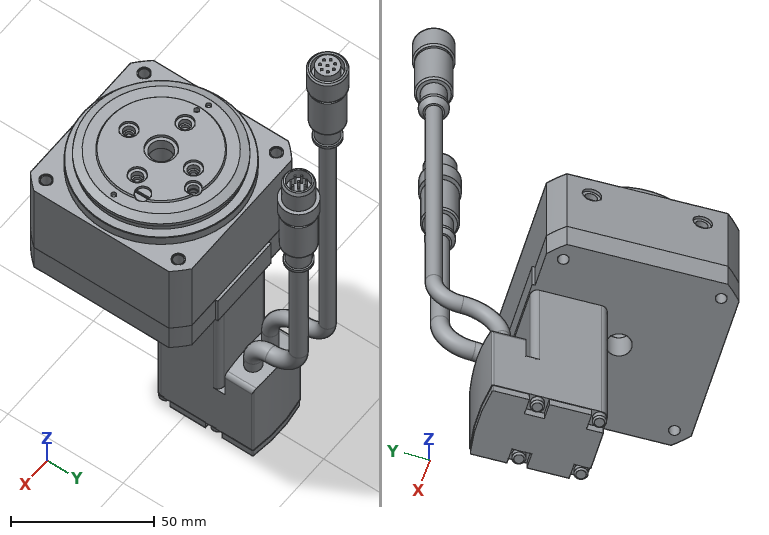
import cadquery as cq
import math


plate_bottom = 70.7
plate_top = 82.3
housing_top = 115.7
collar_top = 119.8
table_top = 125.9

square_side = 70.0
corner_radius = 45.7
collar_radius = 34.0
collar_chamfer = 0.2
rear_pad_width = 31.2
rear_pad_reach = 1.1
corner_hole_offset = 28.7
corner_hole_diameter = 4.0
corner_mouth_diameter = 5.0
corner_mouth_depth = 0.5
side_hole_offset = 20.1
side_hole_height = 106.2

mouth_diameter = 7.0
mouth_depth = 1.1
thread_diameter = 4.5
thread_depth = 3.5
drill_diameter = 3.2
drill_depth = 5.0
drill_point_angle = 118
small_mouth_diameter = 6.0
small_thread_diameter = 4.0

neck_radius = 30.3
lip_radius = 31.0
lip_bottom = 122.5
lip_top = 123.8
rim_radius = 27.5
disc_radius = 22.8
disc_rise = 0.7
disc_chamfer = 0.5
bore_diameter = 9.3
bore_mouth_diameter = 12.0
bore_mouth_depth = 1.4
table_hole_circle = 14.0
table_hole_count = 4
small_tapped_x = 6.8
small_tapped_y = 19.0
set_screw_x = 19.2
set_screw_y = 6.3
set_screw_diameter = 6.0
set_screw_depth = 1.1
set_screw_slot_width = 1.0
set_screw_slot_depth = 1.0
pin_hole_points = [(-20.8, 0), (-25.3, 1.8), (25.3, -1.8)]
pin_hole_diameter = 2.0
pin_hole_depth = 2.3

motor_side = 28.0
motor_front = 7.7
motor_back = motor_front + motor_side
motor_centre_y = motor_front + motor_side / 2
motor_corner_radius = 2.7

foot_height = 3.5
foot_inset = 0.2
foot_screw_inset = 2.7
foot_screw_diameter = 5.0
foot_screw_gap = 0.5
foot_screw_chamfer = 0.7
foot_pocket_side = 7.2

slot_bottom = 27.0
outlet_front = 38.0
outlet_back = 51.5
outlet_bulge = 1.4
outlet_top = 40.5
outlet_crown = 2.0
outlet_shoulder = outlet_top - outlet_crown
outlet_edge_radius = 2.3
outlet_corner_radius = 0.7

tall_cable_x = -4.7
short_cable_x = 5.2
cable_start_y = 43.8
tall_cable_radius = 3.05
short_cable_radius = 3.5

nut_radius = 7.5
grip_radius = 6.8
sleeve_radius = 4.7
bead_radius = 5.5
coupling_radius = 6.0
nut_neck_radius = 4.5
insert_radius = 4.63
connector_edge = 0.7
connector_recess = 4.5
bead_height = 1.4
socket_diameter = 1.0
pin_diameter = 0.8
pin_tip_gap = 0.5
pin_circle_radius = 2.7
pins_on_circle = 7


def level(height):
    """Horizontal workplane at the given height."""
    return cq.Workplane("XY").workplane(offset=height)


def cylinder(diameter, bottom, top, x=0, y=0):
    """Upright cylinder between two heights."""
    return level(bottom).center(x, y).circle(diameter / 2).extrude(top - bottom)


def turned(profile, x=0, y=0):
    """Solid turned from (radius, height) points about an upright axis."""
    return cq.Workplane("XZ", origin=(x, y, 0)).polyline(profile).close().revolve(360, (0, 0), (0, 1))


def square_block(bottom, top):
    """Square prism whose corners are turned to the corner radius."""
    square = level(bottom).rect(square_side, square_side).extrude(top - bottom)
    return square.intersect(cylinder(2 * corner_radius, bottom, top))


def corner_holes(diameter, bottom, top):
    """Cutter for the four corner holes."""
    spacing = 2 * corner_hole_offset
    centres = level(bottom).rect(spacing, spacing, forConstruction=True).vertices()
    return centres.circle(diameter / 2).extrude(top - bottom)


def tapped_hole(mouth, direction, wide=mouth_diameter, thread=thread_diameter):
    """Cutter for a counterbored tapped hole that starts at the mouth and runs along the direction."""
    drill_radius = drill_diameter / 2
    point_length = drill_radius / math.tan(math.radians(drill_point_angle / 2))
    profile = [
        (0, 0),
        (wide / 2, 0),
        (wide / 2, mouth_depth),
        (thread / 2, mouth_depth),
        (thread / 2, thread_depth),
        (drill_radius, thread_depth),
        (drill_radius, drill_depth),
        (0, drill_depth + point_length),
    ]
    axis = cq.Vector(*direction)
    across = cq.Vector(1, 0, 0) if direction[2] else cq.Vector(0, 0, 1)
    plane = cq.Plane(origin=mouth, xDir=across, normal=across.cross(axis))
    return cq.Workplane(plane).polyline(profile).close().revolve(360, (0, 0), (0, 1))



def make_housing():
    body = square_block(plate_top, housing_top)
    collar = cylinder(2 * collar_radius, housing_top, collar_top)
    body = body.union(collar.faces(">Z").chamfer(collar_chamfer))
    body = body.cut(cylinder(bore_diameter, plate_top, collar_top))
    body = body.cut(corner_holes(corner_hole_diameter, plate_top, housing_top))
    body = body.cut(corner_holes(corner_mouth_diameter, housing_top - corner_mouth_depth, housing_top))
    half = square_side / 2
    for along in (-side_hole_offset, side_hole_offset):
        body = body.cut(tapped_hole((along, -half, side_hole_height), (0, 1, 0)))
        body = body.cut(tapped_hole((-half, along, side_hole_height), (1, 0, 0)))
    return body



def make_base_plate():
    body = square_block(plate_bottom, plate_top)
    pad_end = square_side / 2 + rear_pad_reach
    pad = level(plate_bottom).center(0, pad_end / 2).rect(rear_pad_width, pad_end)
    body = body.union(pad.extrude(plate_top - plate_bottom))
    body = body.cut(cylinder(bore_diameter, plate_bottom, plate_top))
    return body.cut(corner_holes(corner_hole_diameter, plate_bottom, plate_top))



def table_blank():
    """Turned table with a lip over a neck, a sloping rim, a raised disc and a stepped bore."""
    ring_top = table_top - disc_rise
    profile = [
        (0, collar_top),
        (neck_radius, collar_top),
        (neck_radius, lip_bottom),
        (lip_radius, lip_bottom),
        (lip_radius, lip_top),
        (rim_radius, ring_top),
        (disc_radius, ring_top),
        (disc_radius - disc_chamfer, table_top),
        (0, table_top),
    ]
    body = turned(profile).cut(cylinder(bore_diameter, collar_top, table_top))
    return body.cut(cylinder(bore_mouth_diameter, table_top - bore_mouth_depth, table_top))


def set_screw_recess():
    """Cutter for the recess over the set screw and the slot across the screw."""
    floor = table_top - set_screw_depth
    recess = cylinder(set_screw_diameter, floor, table_top, set_screw_x, set_screw_y)
    slot = level(floor - set_screw_slot_depth).center(set_screw_x, set_screw_y)
    slot = slot.rect(set_screw_slot_width, set_screw_diameter).extrude(set_screw_slot_depth)
    return recess.union(slot)


def make_table():
    body = table_blank()
    down = (0, 0, -1)
    for step in range(table_hole_count):
        angle = step * 2 * math.pi / table_hole_count
        x = table_hole_circle * math.cos(angle)
        y = table_hole_circle * math.sin(angle)
        body = body.cut(tapped_hole((x, y, table_top), down))
    small_mouth = (small_tapped_x, small_tapped_y, table_top)
    body = body.cut(tapped_hole(small_mouth, down, small_mouth_diameter, small_thread_diameter))
    body = body.cut(set_screw_recess())
    for x, y in pin_hole_points:
        body = body.cut(cylinder(pin_hole_diameter, table_top - pin_hole_depth, table_top, x, y))
    return body



def motor_stem():
    """Motor case with rounded upright edges."""
    case = level(foot_height).center(0, motor_centre_y).rect(motor_side, motor_side)
    case = case.extrude(plate_bottom - foot_height)
    return case.edges("|Z").fillet(motor_corner_radius)


def outlet_web():
    """Solid below the slot that joins the motor case to the outlet box."""
    web_end = (outlet_front + outlet_back) / 2
    length = web_end - motor_centre_y
    web = level(foot_height).center(0, motor_centre_y + length / 2).rect(motor_side, length)
    return web.extrude(slot_bottom - foot_height)


def outlet_box():
    """Box behind the motor with a bowed back and a crowned top."""
    half = motor_side / 2
    plan = (
        level(foot_height)
        .moveTo(-half, outlet_front)
        .lineTo(half, outlet_front)
        .lineTo(half, outlet_back - outlet_bulge)
        .threePointArc((0, outlet_back), (-half, outlet_back - outlet_bulge))
        .close()
        .extrude(outlet_top - foot_height)
        .faces(">Y")
        .edges("|Z")
        .fillet(outlet_corner_radius)
    )
    crown = (
        cq.Workplane("XZ", origin=(0, outlet_back, 0))
        .moveTo(-half, 0)
        .lineTo(half, 0)
        .lineTo(half, outlet_shoulder)
        .threePointArc((0, outlet_top), (-half, outlet_shoulder))
        .close()
        .extrude(outlet_back - outlet_front)
        .faces(">Z")
        .edges("|Y")
        .fillet(outlet_edge_radius)
    )
    return plan.intersect(crown)


def foot_screw_points():
    reach = motor_side / 2 - foot_screw_inset
    return [(x, motor_centre_y + y) for x in (-reach, reach) for y in (-reach, reach)]


def add_foot(case):
    """Extend the motor case down to Z = 0 with a set-back foot, screw pockets and screw heads."""
    foot = case.faces("<Z").wires().toPending().offset2D(-foot_inset).extrude(-foot_height, combine=False)
    pockets = level(0).pushPoints(foot_screw_points()).rect(foot_pocket_side, foot_pocket_side)
    heads = level(foot_screw_gap).pushPoints(foot_screw_points()).circle(foot_screw_diameter / 2)
    heads = heads.extrude(foot_height - foot_screw_gap).faces("<Z").chamfer(foot_screw_chamfer)
    return case.union(foot.cut(pockets.extrude(foot_height))).union(heads)


def cable(x, radius, bend_start, first_bend, second_bend, top):
    """Cable that rises from the outlet box, bends back in an S and rises again.

    Returns the cable and the Y place of its second upright run.
    """
    middle_y = cable_start_y + first_bend
    middle_z = bend_start + first_bend
    end_y = middle_y + second_bend
    end_z = middle_z + second_bend
    path = (
        cq.Workplane("YZ", origin=(x, 0, 0))
        .moveTo(cable_start_y, outlet_shoulder)
        .lineTo(cable_start_y, bend_start)
        .tangentArcPoint((middle_y, middle_z), relative=False)
        .tangentArcPoint((end_y, end_z), relative=False)
        .lineTo(end_y, top)
    )
    section = cq.Workplane("XY", origin=(x, cable_start_y, outlet_shoulder)).circle(radius)
    return section.sweep(path), end_y


def pin_group(diameter, bottom, top, x, y):
    """One centre pin and a circle of pins around it."""
    group = cylinder(diameter, bottom, top, x, y)
    for step in range(pins_on_circle):
        angle = math.pi / 2 + step * 2 * math.pi / pins_on_circle
        pin_x = x + pin_circle_radius * math.cos(angle)
        pin_y = y + pin_circle_radius * math.sin(angle)
        group = group.union(cylinder(diameter, bottom, top, pin_x, pin_y))
    return group


def grip_profile(cable_radius, foot, bead_top, grip_bottom, grip_top, nut_bottom):
    """Outline of a connector from the cable up to the underside of its nut."""
    return [
        (0, foot),
        (cable_radius + connector_edge, foot),
        (bead_radius, bead_top - bead_height),
        (bead_radius, bead_top),
        (sleeve_radius, bead_top),
        (sleeve_radius, grip_bottom),
        (grip_radius - connector_edge, grip_bottom),
        (grip_radius, grip_bottom + connector_edge),
        (grip_radius, grip_top),
        (nut_neck_radius, grip_top),
        (nut_neck_radius, nut_bottom),
    ]


def socket_connector(x, y):
    """Connector with a wide nut around an insert full of pin sockets."""
    foot = 181.7
    bead_top = 185.3
    grip_bottom = 193.5
    grip_top = 212.5
    nut_bottom = 213.5
    nut_top = 224.6
    top = 226.0
    profile = grip_profile(tall_cable_radius, foot, bead_top, grip_bottom, grip_top, nut_bottom) + [
        (nut_radius - connector_edge, nut_bottom),
        (nut_radius, nut_bottom + connector_edge),
        (nut_radius, nut_top - connector_edge),
        (nut_radius - connector_edge, nut_top),
        (coupling_radius, nut_top),
        (coupling_radius, nut_top - connector_recess),
        (insert_radius, nut_top - connector_recess),
        (insert_radius, top),
        (0, top),
    ]
    return turned(profile, x, y).cut(pin_group(socket_diameter, top - connector_recess, top, x, y))


def pin_connector(x, y):
    """Connector with a recessed barrel above its nut and pins inside the barrel."""
    foot = 115.7
    bead_top = 118.9
    grip_bottom = 127.5
    grip_top = 145.8
    nut_bottom = 147.5
    nut_top = 154.5
    barrel_shoulder = 163.2
    top = 164.5
    floor = top - connector_recess
    profile = grip_profile(short_cable_radius, foot, bead_top, grip_bottom, grip_top, nut_bottom) + [
        (nut_radius, nut_bottom),
        (nut_radius, nut_top),
        (coupling_radius, nut_top),
        (coupling_radius, barrel_shoulder),
        (coupling_radius - connector_edge, top),
        (insert_radius, top),
        (insert_radius, floor),
        (0, floor),
    ]
    return turned(profile, x, y).union(pin_group(pin_diameter, floor, top - pin_tip_gap, x, y))


def make_motor():
    body = motor_stem().union(outlet_web()).union(outlet_box())
    body = add_foot(body)
    tall_cable, tall_y = cable(
        tall_cable_x, tall_cable_radius, bend_start=49.3, first_bend=15.0, second_bend=10.0, top=183.0
    )
    short_cable, short_y = cable(
        short_cable_x, short_cable_radius, bend_start=44.5, first_bend=7.7, second_bend=12.0, top=117.5
    )
    body = body.union(tall_cable).union(short_cable)
    body = body.union(socket_connector(tall_cable_x, tall_y))
    return body.union(pin_connector(short_cable_x, short_y))


housing = make_housing()
base_plate = make_base_plate()
table = make_table()
motor = make_motor()

result = cq.Compound.makeCompound([housing.val(), base_plate.val(), table.val(), motor.val()])